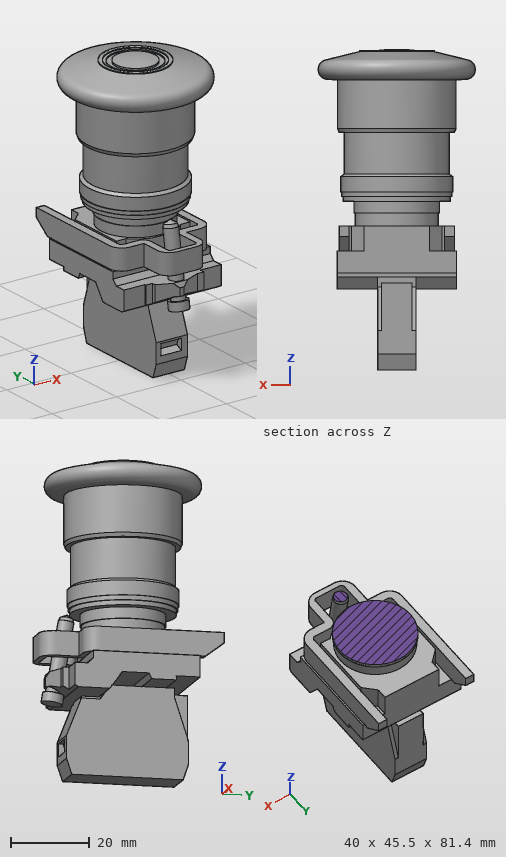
import cadquery as cq
import math


TOTAL_HEIGHT = 81.4
CLIP_TOP = 36.65
PLATE_TOP = 30.3
BLOCK_TOP = 23.6
LIP_BOTTOM = 20.6

KNOB_DIAMETER = 40.0
KNOB_RADIUS = KNOB_DIAMETER / 2
RIM_ARC_RADIUS = 2.5
RIM_ARC_CENTER_Z = 76.3
CONE_TOP_RADIUS = 9.5
CONE_TOP_Z = 80.9
CONE_ANGLE = math.radians(14.0)
RING_TOP = 81.1
RING_INNER_RADIUS = 8.4
LEDGE_Z = 80.9
LEDGE_INNER_RADIUS = 7.5
GROOVE_Z = 80.5
DOME_RADIUS = 6.0
DOME_EDGE_Z = 81.0
UNDERSIDE_Z = 73.6

SLEEVE_RADIUS = 15.1
SLEEVE_BOTTOM = 60.3
SLEEVE_CHAMFER = (0.4, 1.0)
BARREL_RADIUS = 13.35
COLLAR_RADIUS = 14.25
COLLAR_CONE_TOP = 49.8
COLLAR_TOP = 49.1
COLLAR_BOTTOM = 45.3
SEAL_RADIUS = 14.0
SEAL_BOTTOM = 44.05
FLANGE_RADIUS = 13.6
FLANGE_BOTTOM = 42.8
NECK_RADIUS = 10.9
NECK_BOTTOM = 39.9
STEM_RADIUS = 10.6

CLIP_REAR = 22.9
CLIP_HALF_WIDTH = 14.65
CLIP_WALL = 2.5
CLIP_SHOULDER_Y = -13.1
CLIP_FRONT = -22.6
LOOP_HALF_WIDTH = 6.7
LOOP_SIDE_WALL = 2.3
LOOP_FRONT_WALL = 1.6
CLIP_CORNER_RADIUS = 3.75
INNER_CORNER_RADIUS = 0.8
ARM_TIP_HEIGHT = 2.7
ARM_TAPER_LENGTH = 4.9

BASE_HALF_WIDTH = 15.15
BASE_REAR = 16.45
PLATE_FRONT = -11.5
LIP_FRONT = -16.3
LIP_TOP = 26.9
LIP_CHAMFER = 1.5
REAR_BOTTOM = 24.7
FOOT_REAR = 10.2
NOTCH_REAR = 3.75
NOTCH_TOP = 25.1
NOTCH_TAPER = 0.65
SLOPE_TOP_Y = -3.8
SLOPE_BOTTOM_Y = -7.2
UNDERCUT_START = -15.4
UNDERCUT_END = -19.7
NOSE_BOTTOM = 23.1

PAD_OUTER_X = 8.6
PAD_INNER_X = 6.6
LEFT_PAD_FRONT = -16.7
NOSE_ROOT = -17.8
NOSE_FRONT = -20.4
NOSE_TIP_HALF_WIDTH = 0.65
NOSE_CHAMFER_DEPTH = 0.7
NOSE_CHAMFER_HEIGHT = 1.4

BOSS_HALF_WIDTH = 11.5
BOSS_TAIL_HALF_WIDTH = 8.3
BOSS_TAIL_LENGTH = 3.0
BOSS_SHOULDER_X = 8.5
BOSS_SHOULDER_Y = -7.8
BOSS_FLAT_HALF_WIDTH = 2.45

SCREW_X = 0.3
SCREW_HEAD_Y = -18.7
SCREW_HEAD_Z = 18.9
SCREW_TILT = 10.0
SCREW_LENGTH = 23.6
SCREW_RADIUS = 2.0
SCREW_HEAD_RADIUS = 2.8
SCREW_HEAD_HEIGHT = 2.5
TIP_SHOULDER_RADIUS = 1.7
TIP_CONE_HEIGHT = 1.0
TIP_HEIGHT = 1.95

BLOCK_HALF_WIDTH = 4.9
BLOCK_HALF_LENGTH = 16.0
TONGUE_HALF_WIDTH = 3.8
RABBET_DEPTH = 0.7
BLOCK_BOTTOM_HALF_LENGTH = 14.6
BLOCK_LOWER_EDGE = 4.1
BLOCK_UPPER_EDGE = 10.0
BLOCK_SHOULDER_FRONT = -12.05
BLOCK_TOP_FRONT = -4.5
BLOCK_SHOULDER_REAR = 12.3
BLOCK_SHOULDER_REAR_Z = 21.2
TAIL_TOP = 22.1
POCKET_X = (-3.4, 2.9)
POCKET_BOTTOM = 6.1
POCKET_TOP = 9.45
POCKET_FLOOR_RISE = 1.05
POCKET_DEPTH = 1.95
POCKET_ROOF_DEPTH = 1.1


def extrude_across(points, half_width):
    """Extrude a (y, z) outline symmetrically in X."""
    return cq.Workplane("YZ").polyline(points).close().extrude(half_width, both=True)


def make_head():
    rim_center_x = KNOB_RADIUS - RIM_ARC_RADIUS
    rim_top = (
        rim_center_x + RIM_ARC_RADIUS * math.sin(CONE_ANGLE),
        RIM_ARC_CENTER_Z + RIM_ARC_RADIUS * math.cos(CONE_ANGLE),
    )
    rim_bottom = (rim_center_x, RIM_ARC_CENTER_Z - RIM_ARC_RADIUS)
    dome_rise = TOTAL_HEIGHT - DOME_EDGE_Z
    dome_sphere = (DOME_RADIUS**2 + dome_rise**2) / (2 * dome_rise)
    mid_radius = DOME_RADIUS / 2
    dome_mid_z = TOTAL_HEIGHT - dome_sphere + math.sqrt(dome_sphere**2 - mid_radius**2)
    chamfer_radial, chamfer_axial = SLEEVE_CHAMFER
    profile = (
        cq.Workplane("XZ")
        .moveTo(0, CLIP_TOP)
        .lineTo(STEM_RADIUS, CLIP_TOP)
        .lineTo(STEM_RADIUS, NECK_BOTTOM)
        .lineTo(NECK_RADIUS, NECK_BOTTOM)
        .lineTo(NECK_RADIUS, FLANGE_BOTTOM)
        .lineTo(FLANGE_RADIUS, FLANGE_BOTTOM)
        .lineTo(FLANGE_RADIUS, SEAL_BOTTOM)
        .lineTo(SEAL_RADIUS, SEAL_BOTTOM)
        .lineTo(SEAL_RADIUS, COLLAR_BOTTOM)
        .lineTo(COLLAR_RADIUS, COLLAR_BOTTOM)
        .lineTo(COLLAR_RADIUS, COLLAR_TOP)
        .lineTo(BARREL_RADIUS, COLLAR_CONE_TOP)
        .lineTo(BARREL_RADIUS, SLEEVE_BOTTOM)
        .lineTo(SLEEVE_RADIUS - chamfer_radial, SLEEVE_BOTTOM)
        .lineTo(SLEEVE_RADIUS, SLEEVE_BOTTOM + chamfer_axial)
        .lineTo(SLEEVE_RADIUS, UNDERSIDE_Z)
        .lineTo(*rim_bottom)
        .threePointArc((KNOB_RADIUS, RIM_ARC_CENTER_Z), rim_top)
        .lineTo(CONE_TOP_RADIUS, CONE_TOP_Z)
        .lineTo(CONE_TOP_RADIUS, RING_TOP)
        .lineTo(RING_INNER_RADIUS, RING_TOP)
        .lineTo(RING_INNER_RADIUS, LEDGE_Z)
        .lineTo(LEDGE_INNER_RADIUS, LEDGE_Z)
        .lineTo(LEDGE_INNER_RADIUS, GROOVE_Z)
        .lineTo(DOME_RADIUS, GROOVE_Z)
        .lineTo(DOME_RADIUS, DOME_EDGE_Z)
        .threePointArc((mid_radius, dome_mid_z), (0, TOTAL_HEIGHT))
        .close()
    )
    return profile.revolve(360, (0, 0, 0), (0, 1, 0))


def clip_prism(half_width, shoulder_y, loop_half_width, front_y):
    """Upright prism with the stepped plan of the clip, from its rear end to its front loop."""
    plan = [
        (-half_width, CLIP_REAR),
        (-half_width, shoulder_y),
        (-loop_half_width, shoulder_y),
        (-loop_half_width, front_y),
        (loop_half_width, front_y),
        (loop_half_width, shoulder_y),
        (half_width, shoulder_y),
        (half_width, CLIP_REAR),
    ]
    height = CLIP_TOP - PLATE_TOP
    return cq.Workplane("XY", origin=(0, 0, PLATE_TOP)).polyline(plan).close().extrude(height)


def round_upright_edges(prism, half_width, y, radius):
    """Fillet the two upright edges at X = +-half_width and the given Y."""
    middle_z = (PLATE_TOP + CLIP_TOP) / 2
    for x in (-half_width, half_width):
        prism = prism.edges(cq.selectors.NearestToPointSelector((x, y, middle_z))).fillet(radius)
    return prism


def make_clip():
    outer = clip_prism(CLIP_HALF_WIDTH, CLIP_SHOULDER_Y, LOOP_HALF_WIDTH, CLIP_FRONT)
    outer = round_upright_edges(outer, CLIP_HALF_WIDTH, CLIP_SHOULDER_Y, CLIP_CORNER_RADIUS)
    outer = round_upright_edges(outer, LOOP_HALF_WIDTH, CLIP_FRONT, CLIP_CORNER_RADIUS)

    inner_half_width = CLIP_HALF_WIDTH - CLIP_WALL
    inner_shoulder_y = CLIP_SHOULDER_Y + CLIP_WALL
    inner_loop_half_width = LOOP_HALF_WIDTH - LOOP_SIDE_WALL
    inner_front = CLIP_FRONT + LOOP_FRONT_WALL
    inner = clip_prism(inner_half_width, inner_shoulder_y, inner_loop_half_width, inner_front)
    inner = round_upright_edges(inner, inner_half_width, inner_shoulder_y, INNER_CORNER_RADIUS)
    inner = round_upright_edges(inner, inner_loop_half_width, inner_shoulder_y, CLIP_WALL)
    inner = round_upright_edges(inner, inner_loop_half_width, inner_front, INNER_CORNER_RADIUS)

    arm_taper = extrude_across(
        [
            (CLIP_REAR - ARM_TAPER_LENGTH, PLATE_TOP),
            (CLIP_REAR, PLATE_TOP),
            (CLIP_REAR, CLIP_TOP - ARM_TIP_HEIGHT),
        ],
        CLIP_HALF_WIDTH,
    )
    return outer.cut(inner).cut(arm_taper)


def make_screw():
    """Tilted screw, head down, with a two-step conical tip."""
    profile = [
        (0, 0),
        (SCREW_HEAD_RADIUS, 0),
        (SCREW_HEAD_RADIUS, SCREW_HEAD_HEIGHT),
        (SCREW_RADIUS, SCREW_HEAD_HEIGHT),
        (SCREW_RADIUS, SCREW_LENGTH - TIP_HEIGHT),
        (TIP_SHOULDER_RADIUS, SCREW_LENGTH - TIP_CONE_HEIGHT),
        (0, SCREW_LENGTH),
    ]
    screw = cq.Workplane("XZ").polyline(profile).close().revolve(360, (0, 0, 0), (0, 1, 0))
    screw = screw.rotate((0, 0, 0), (1, 0, 0), -SCREW_TILT)
    return screw.translate((SCREW_X, SCREW_HEAD_Y, SCREW_HEAD_Z))


def base_boss():
    """Raised boss on the plate that carries the head and sits inside the clip."""
    arc_radius = math.hypot(BOSS_SHOULDER_X, BOSS_SHOULDER_Y)
    arc_end_y = -math.sqrt(arc_radius**2 - BOSS_FLAT_HALF_WIDTH**2)
    arc_mid_x = (BOSS_SHOULDER_X + BOSS_FLAT_HALF_WIDTH) / 2
    arc_mid_y = -math.sqrt(arc_radius**2 - arc_mid_x**2)
    bevel_start_y = BASE_REAR - BOSS_TAIL_LENGTH
    bevel_end_y = bevel_start_y - (BOSS_HALF_WIDTH - BOSS_TAIL_HALF_WIDTH)
    return (
        cq.Workplane("XY", origin=(0, 0, PLATE_TOP))
        .moveTo(-BOSS_TAIL_HALF_WIDTH, BASE_REAR)
        .lineTo(-BOSS_TAIL_HALF_WIDTH, bevel_start_y)
        .lineTo(-BOSS_HALF_WIDTH, bevel_end_y)
        .lineTo(-BOSS_HALF_WIDTH, BOSS_SHOULDER_Y)
        .lineTo(-BOSS_SHOULDER_X, BOSS_SHOULDER_Y)
        .threePointArc((-arc_mid_x, arc_mid_y), (-BOSS_FLAT_HALF_WIDTH, arc_end_y))
        .lineTo(BOSS_FLAT_HALF_WIDTH, arc_end_y)
        .threePointArc((arc_mid_x, arc_mid_y), (BOSS_SHOULDER_X, BOSS_SHOULDER_Y))
        .lineTo(BOSS_HALF_WIDTH, BOSS_SHOULDER_Y)
        .lineTo(BOSS_HALF_WIDTH, bevel_end_y)
        .lineTo(BOSS_TAIL_HALF_WIDTH, bevel_start_y)
        .lineTo(BOSS_TAIL_HALF_WIDTH, BASE_REAR)
        .close()
        .extrude(CLIP_TOP - PLATE_TOP)
    )


def base_side_profile():
    """Plate and lip as one extrusion, reaching forward to the tip of the nose."""
    return extrude_across(
        [
            (BASE_REAR, PLATE_TOP),
            (PLATE_FRONT, PLATE_TOP),
            (PLATE_FRONT, LIP_TOP + LIP_CHAMFER),
            (PLATE_FRONT - LIP_CHAMFER, LIP_TOP),
            (NOSE_FRONT + NOSE_CHAMFER_DEPTH, LIP_TOP),
            (NOSE_FRONT, LIP_TOP - NOSE_CHAMFER_HEIGHT),
            (NOSE_FRONT, NOSE_BOTTOM),
            (UNDERCUT_END, NOSE_BOTTOM),
            (UNDERCUT_START, LIP_BOTTOM),
            (SLOPE_BOTTOM_Y, LIP_BOTTOM),
            (SLOPE_TOP_Y, NOTCH_TOP),
            (NOTCH_REAR - NOTCH_TAPER, NOTCH_TOP),
            (NOTCH_REAR, BLOCK_TOP),
            (FOOT_REAR, BLOCK_TOP),
            (FOOT_REAR, REAR_BOTTOM),
            (BASE_REAR, REAR_BOTTOM),
        ],
        BASE_HALF_WIDTH,
    )


def base_plan():
    """Upright prism that trims the lip to its pads and its pointed nose."""
    plan = [
        (-BASE_HALF_WIDTH, BASE_REAR),
        (-BASE_HALF_WIDTH, LIP_FRONT),
        (-PAD_OUTER_X, LIP_FRONT),
        (-PAD_OUTER_X, LEFT_PAD_FRONT),
        (-PAD_INNER_X, LEFT_PAD_FRONT),
        (-PAD_INNER_X, NOSE_ROOT),
        (-NOSE_TIP_HALF_WIDTH, NOSE_FRONT),
        (NOSE_TIP_HALF_WIDTH, NOSE_FRONT),
        (PAD_INNER_X, NOSE_ROOT),
        (PAD_OUTER_X, NOSE_ROOT),
        (PAD_OUTER_X, LIP_FRONT),
        (BASE_HALF_WIDTH, LIP_FRONT),
        (BASE_HALF_WIDTH, BASE_REAR),
    ]
    height = PLATE_TOP - LIP_BOTTOM
    return cq.Workplane("XY", origin=(0, 0, LIP_BOTTOM)).polyline(plan).close().extrude(height)


def make_base(screw):
    base = base_side_profile().intersect(base_plan()).union(base_boss())
    return base.cut(screw)


def block_body():
    """Full-width part of the block, with both top shoulders sloping outward."""
    return extrude_across(
        [
            (-BLOCK_BOTTOM_HALF_LENGTH, 0),
            (BLOCK_BOTTOM_HALF_LENGTH, 0),
            (BLOCK_HALF_LENGTH, BLOCK_LOWER_EDGE),
            (BLOCK_HALF_LENGTH, BLOCK_UPPER_EDGE),
            (BLOCK_SHOULDER_REAR, BLOCK_SHOULDER_REAR_Z),
            (BLOCK_SHOULDER_REAR, BLOCK_TOP),
            (BLOCK_TOP_FRONT, BLOCK_TOP),
            (SLOPE_BOTTOM_Y, LIP_BOTTOM - RABBET_DEPTH),
            (BLOCK_SHOULDER_FRONT, LIP_BOTTOM - RABBET_DEPTH),
            (-BLOCK_HALF_LENGTH, BLOCK_UPPER_EDGE),
            (-BLOCK_HALF_LENGTH, BLOCK_LOWER_EDGE),
        ],
        BLOCK_HALF_WIDTH,
    )


def block_tongue():
    """Narrow rib between the rabbets, up against the sloped underside of the base."""
    base_slope = (SLOPE_TOP_Y - SLOPE_BOTTOM_Y) / (NOTCH_TOP - LIP_BOTTOM)
    slope_y_at_block_top = SLOPE_BOTTOM_Y + base_slope * (BLOCK_TOP - LIP_BOTTOM)
    front_height = LIP_BOTTOM - RABBET_DEPTH - BLOCK_UPPER_EDGE
    front_slope = (BLOCK_SHOULDER_FRONT + BLOCK_HALF_LENGTH) / front_height
    rib_front = BLOCK_SHOULDER_FRONT + front_slope * RABBET_DEPTH
    return extrude_across(
        [
            (0, BLOCK_TOP),
            (slope_y_at_block_top, BLOCK_TOP),
            (SLOPE_BOTTOM_Y, LIP_BOTTOM),
            (rib_front, LIP_BOTTOM),
            (-BLOCK_HALF_LENGTH, BLOCK_UPPER_EDGE),
            (0, BLOCK_UPPER_EDGE),
        ],
        TONGUE_HALF_WIDTH,
    )


def block_tail():
    """Narrow rear part that fills the corner above the rear slope."""
    return extrude_across(
        [
            (0, BLOCK_UPPER_EDGE),
            (BLOCK_HALF_LENGTH, BLOCK_UPPER_EDGE),
            (BLOCK_HALF_LENGTH, TAIL_TOP),
            (0, TAIL_TOP),
        ],
        TONGUE_HALF_WIDTH,
    )


def block_pocket():
    """Terminal opening in the front face, with a rising floor and a leaning back wall."""
    left, right = POCKET_X
    return (
        cq.Workplane("YZ", origin=(left, 0, 0))
        .moveTo(-BLOCK_HALF_LENGTH, POCKET_BOTTOM)
        .lineTo(-BLOCK_HALF_LENGTH + POCKET_DEPTH, POCKET_BOTTOM + POCKET_FLOOR_RISE)
        .lineTo(-BLOCK_HALF_LENGTH + POCKET_ROOF_DEPTH, POCKET_TOP)
        .lineTo(-BLOCK_HALF_LENGTH, POCKET_TOP)
        .close()
        .extrude(right - left)
    )


def make_contact_block():
    return block_body().union(block_tongue()).union(block_tail()).cut(block_pocket())


head = make_head()
clip = make_clip()
screw = make_screw()
base = make_base(screw)
contact_block = make_contact_block()

bodies = [head, clip, base, screw, contact_block]
result = cq.Compound.makeCompound([solid for body in bodies for solid in body.solids().vals()])